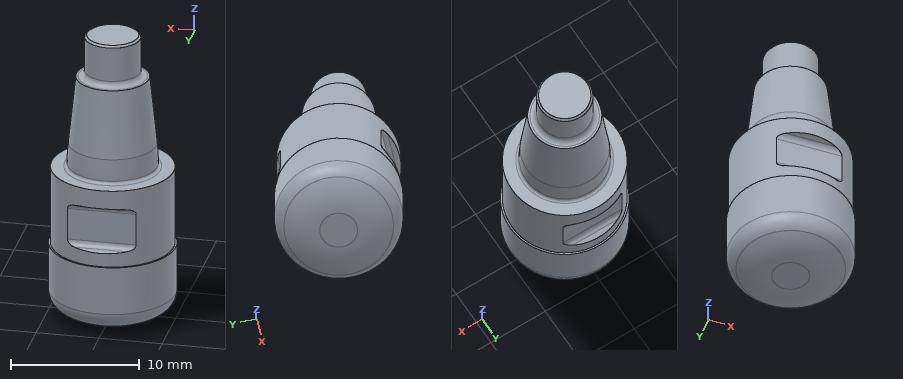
import cadquery as cq
import math

CAP_DIAMETER = 10.0
CAP_TOP = 6.02
CAP_SIDE_BOTTOM = 2.05
CORNER_RADIUS = 1.5
DOME_EDGE_ANGLE = 30.0

BARREL_DIAMETER = 9.7
BARREL_TOP = 12.45
NECK_RADIUS = 3.55
NECK_FILLET = 0.25
CONE_BOTTOM = 14.51
CONE_BOTTOM_RADIUS = 3.47
CONE_TOP = 20.1
CONE_TOP_RADIUS = 2.88
TIP_DIAMETER = 4.4
TIP_TOP = 23.6
TIP_FILLET = 0.5
TIP_CHAMFER = 0.17

FLAT_DISTANCE = 4.01
FLAT_CENTER_HEIGHT = 9.05
FLAT_HEIGHT = 2.6
FLAT_END_RADIUS = 0.5
FLAT_END_DRAFT = 15.0
FLAT_CUT_MARGIN = 0.47


def arc_point(center_x, center_y, radius, degrees):
    """Point on a circle at the given angle from the local X axis."""
    angle = math.radians(degrees)
    return (center_x + radius * math.cos(angle), center_y + radius * math.sin(angle))


def make_cap():
    """Solid cap with a corner round that flows through a shallow round into a flat end."""
    cap_radius = CAP_DIAMETER / 2
    corner_x = cap_radius - CORNER_RADIUS
    dome_edge_direction = DOME_EDGE_ANGLE - 90
    corner_middle = arc_point(corner_x, CAP_SIDE_BOTTOM, CORNER_RADIUS, dome_edge_direction / 2)
    dome_edge = arc_point(corner_x, CAP_SIDE_BOTTOM, CORNER_RADIUS, dome_edge_direction)
    dome_radius = dome_edge[1] / (1 - math.cos(math.radians(DOME_EDGE_ANGLE)))
    flat_end_radius = dome_edge[0] - dome_radius * math.sin(math.radians(DOME_EDGE_ANGLE))
    dome_middle = arc_point(flat_end_radius, dome_radius, dome_radius, DOME_EDGE_ANGLE / 2 - 90)
    return (
        cq.Workplane("XZ")
        .moveTo(0, CAP_TOP)
        .lineTo(cap_radius, CAP_TOP)
        .lineTo(cap_radius, CAP_SIDE_BOTTOM)
        .threePointArc(corner_middle, dome_edge)
        .threePointArc(dome_middle, (flat_end_radius, 0))
        .lineTo(0, 0)
        .close()
        .revolve(360, (0, 0), (0, 1))
    )


def make_stem_blank():
    """Barrel, neck, cone and tip as one revolved profile."""
    barrel_radius = BARREL_DIAMETER / 2
    tip_radius = TIP_DIAMETER / 2
    neck_fillet_top = BARREL_TOP + NECK_FILLET
    neck_fillet_middle = arc_point(NECK_RADIUS + NECK_FILLET, neck_fillet_top, NECK_FILLET, 225)
    tip_fillet_top = CONE_TOP + TIP_FILLET
    tip_fillet_middle = arc_point(tip_radius + TIP_FILLET, tip_fillet_top, TIP_FILLET, 225)
    return (
        cq.Workplane("XZ")
        .moveTo(0, TIP_TOP)
        .lineTo(tip_radius - TIP_CHAMFER, TIP_TOP)
        .lineTo(tip_radius, TIP_TOP - TIP_CHAMFER)
        .lineTo(tip_radius, tip_fillet_top)
        .threePointArc(tip_fillet_middle, (tip_radius + TIP_FILLET, CONE_TOP))
        .lineTo(CONE_TOP_RADIUS, CONE_TOP)
        .lineTo(CONE_BOTTOM_RADIUS, CONE_BOTTOM)
        .tangentArcPoint((NECK_RADIUS, neck_fillet_top), relative=False)
        .threePointArc(neck_fillet_middle, (NECK_RADIUS + NECK_FILLET, BARREL_TOP))
        .lineTo(barrel_radius, BARREL_TOP)
        .lineTo(barrel_radius, CAP_TOP)
        .lineTo(0, CAP_TOP)
        .close()
        .revolve(360, (0, 0), (0, 1))
    )


def make_flat_cutter():
    """Slot with rounded ends and flared walls that cuts the flat on the +Y side."""
    half_flat = FLAT_HEIGHT / 2
    top = FLAT_CENTER_HEIGHT + half_flat
    bottom = FLAT_CENTER_HEIGHT - half_flat
    center_y = FLAT_DISTANCE + FLAT_END_RADIUS
    sweep = 90 - FLAT_END_DRAFT
    top_middle = arc_point(center_y, top, FLAT_END_RADIUS, 180 - sweep / 2)
    top_end = arc_point(center_y, top, FLAT_END_RADIUS, 180 - sweep)
    bottom_middle = arc_point(center_y, bottom, FLAT_END_RADIUS, 180 + sweep / 2)
    bottom_end = arc_point(center_y, bottom, FLAT_END_RADIUS, 180 + sweep)
    outer_y = BARREL_DIAMETER / 2 + FLAT_CUT_MARGIN
    flare = (outer_y - top_end[0]) * math.tan(math.radians(FLAT_END_DRAFT))
    return (
        cq.Workplane("YZ")
        .moveTo(FLAT_DISTANCE, bottom)
        .lineTo(FLAT_DISTANCE, top)
        .threePointArc(top_middle, top_end)
        .lineTo(outer_y, top_end[1] + flare)
        .lineTo(outer_y, bottom_end[1] - flare)
        .lineTo(*bottom_end)
        .threePointArc(bottom_middle, (FLAT_DISTANCE, bottom))
        .close()
        .extrude(BARREL_DIAMETER / 2, both=True)
    )


def make_stem():
    """Stem with the two opposite wrench flats."""
    stem = make_stem_blank()
    for turn in (0, 180):
        stem = stem.cut(make_flat_cutter().rotate((0, 0, 0), (0, 0, 1), turn))
    return stem


cap = make_cap()
stem = make_stem()

result = cq.Compound.makeCompound([cap.val(), stem.val()])